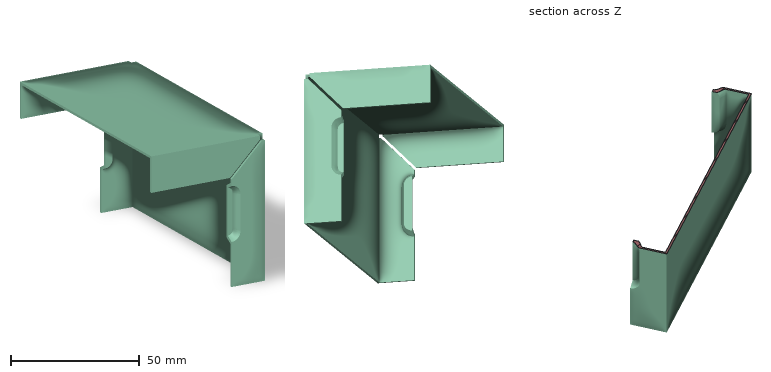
import cadquery as cq
import math

length = 102.0
depth = 51.0
height = 60.0
wall = 1.0
flange = 15.0
miter_gap = 1.0
relief_width = 2.0
relief_reach = 2.2

recess_depth = 3.0
recess_straight = 15.0
recess_radius = 4.0
recess_draft = 30.0
recess_floor_radius = recess_radius - recess_depth * math.tan(math.radians(recess_draft))

x_side = length / 2
y_back = depth / 2
z_top = height / 2
y_free_edge = y_back - flange


def block(x_range, y_range, z_range):
    """Box between the given pairs of limits."""
    size = [high - low for low, high in (x_range, y_range, z_range)]
    return cq.Workplane("XY").box(*size, centered=False).translate((x_range[0], y_range[0], z_range[0]))


def panels():
    """Top and back panels joined along the fold."""
    top = block((-x_side, x_side), (-y_back, y_back), (z_top - wall, z_top))
    back = block((-x_side, x_side), (y_back - wall, y_back), (-z_top, z_top))
    return top.union(back)


def side_flanges():
    """Top and back flanges on the +X side, parted by a diagonal miter gap."""
    x_range = (x_side - wall, x_side)
    top = block(x_range, (-y_back, y_back), (z_top - flange, z_top))
    back = block(x_range, (y_free_edge, y_back), (-z_top, z_top))
    half_gap = miter_gap / math.sqrt(2)
    reach = 2 * flange
    gap = (
        cq.Workplane("YZ", origin=(x_side - wall, y_back, z_top))
        .polyline([(0, -half_gap), (0, half_gap), (-reach, half_gap - reach), (-reach, -half_gap - reach)])
        .close()
        .extrude(wall)
    )
    return top.union(back).cut(gap)


def recess_form(x_outer, outer_radius, floor_radius):
    """Tapered slot shape, centered on the free edge and narrowing towards the part's middle."""
    full_slot = (
        cq.Workplane("YZ", origin=(x_outer, y_free_edge, 0))
        .slot2D(recess_straight + 2 * outer_radius, 2 * outer_radius, 90)
        .workplane(offset=-recess_depth)
        .slot2D(recess_straight + 2 * floor_radius, 2 * floor_radius, 90)
        .loft(ruled=True)
    )
    behind_edge = block((0, x_side), (y_free_edge, y_back), (-z_top, z_top))
    return full_slot.intersect(behind_edge)


def both_sides(shape):
    return shape.union(shape.mirror("YZ"))


flanges = side_flanges()
flanges = flanges.union(recess_form(x_side - wall, recess_radius + wall, recess_floor_radius + wall))
flanges = flanges.cut(recess_form(x_side, recess_radius, recess_floor_radius))

relief = block(
    (x_side - relief_width, x_side),
    (y_back - relief_reach, y_back),
    (z_top - relief_reach, z_top),
)

result = panels().union(both_sides(flanges)).cut(both_sides(relief))